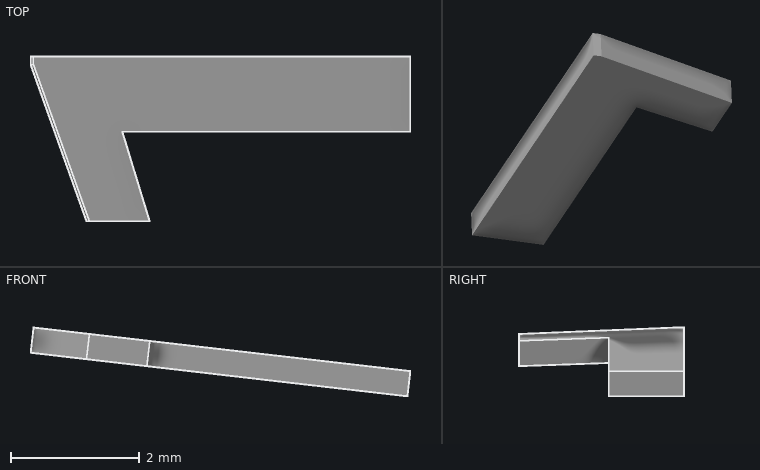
import cadquery as cq

length = 5.93
thickness = 0.4
tilt = 6.6

total_width = 2.58
arm_width = 1.18
nose_flat = 0.13

hook_tip_start = 0.88
hook_tip_length = 0.95
inner_corner = 1.40

hook_tip_end = hook_tip_start + hook_tip_length


def flat_plate():
    """Level plate with its nose and back edge on the origin and its top face at Z = 0."""
    outline = [
        (0, 0),
        (length, 0),
        (length, -arm_width),
        (inner_corner, -arm_width),
        (hook_tip_end, -total_width),
        (hook_tip_start, -total_width),
        (0, -nose_flat),
    ]
    return cq.Workplane("XY").polyline(outline).close().extrude(-thickness)


def tilted(plate):
    """Lower the free end of the arm by the tilt angle."""
    return plate.rotate((0, 0, 0), (0, 1, 0), tilt)


def centred(plate):
    """Move the middle of the plate's outer box to the origin."""
    return plate.translate(plate.val().BoundingBox().center.multiply(-1))


result = centred(tilted(flat_plate()))